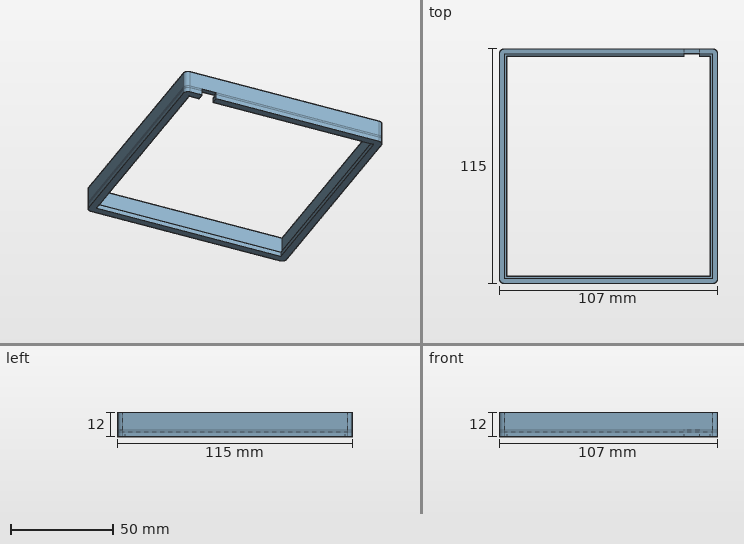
import cadquery as cq

length_x = 107.0
length_y = 115.0
height = 12.0
corner_radius = 2.5

wall = 2.5
lip_width = 1.2

lip_height = 2.5
band_height = 1.0
upper_wall_height = height - lip_height - band_height

gap_start_x = 37.0
gap_width = 7.5
gap_height = lip_height + band_height


def ring_layer(base_z, layer_height, thickness):
    """Rectangular ring with rounded outer corners and a sharp-cornered opening."""
    outer = (
        cq.Workplane("XY")
        .workplane(offset=base_z)
        .rect(length_x, length_y)
        .extrude(layer_height)
        .edges("|Z")
        .fillet(corner_radius)
    )
    opening = (
        cq.Workplane("XY")
        .workplane(offset=base_z)
        .rect(length_x - 2 * thickness, length_y - 2 * thickness)
        .extrude(layer_height)
    )
    return outer.cut(opening)


def make_frame():
    """Stack the layers, keeping the wall faces divided at the layer joints."""
    lip = ring_layer(0, lip_height, wall + lip_width)
    band = ring_layer(lip_height, band_height, wall)
    upper_wall = ring_layer(lip_height + band_height, upper_wall_height, wall)
    return lip.union(band, clean=False).union(upper_wall, clean=False)


def make_gap():
    """Block that removes the lip and the lower wall across the gap."""
    gap_depth = wall + lip_width
    gap = cq.Workplane("XY").box(gap_width, gap_depth, gap_height, centered=False)
    return gap.translate((gap_start_x, length_y / 2 - gap_depth, 0))


result = make_frame().cut(make_gap(), clean=False)